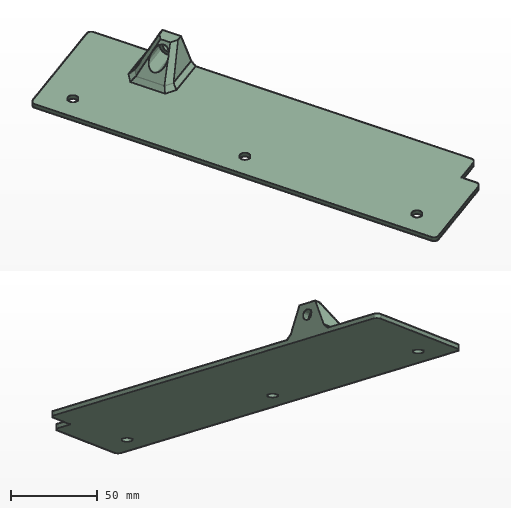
import cadquery as cq

plate_length = 264.0
plate_width = 73.0
plate_thickness = 3.0
overall_height = 22.0
corner_radius = 3.0
notch_length = 12.5
notch_width = 17.7

hole_diameter = 6.3
hole_end_margin = 20.0
hole_edge_margin = 14.5

bracket_height = overall_height - plate_thickness
bracket_center_x = 53.9
foot_height = 3.0
corner_slope = 1.4

base_section = (15.5, 11.4, 30.0)
foot_top_section = (12.7, 9.2, 27.0)
top_section = (6.0, 3.2, 8.0)

bore_height = 12.0
bore_diameter = 6.3
counterbore_diameter = 11.0
counterbore_back_wall = 5.0


def make_plate():
    notch_x = plate_length - notch_length
    notch_y = plate_width - notch_width
    outer_corners = [
        (0, 0),
        (plate_length, 0),
        (plate_length, notch_y),
        (notch_x, plate_width),
        (0, plate_width),
    ]
    plate = (
        cq.Workplane("XY")
        .polyline(outer_corners[:3] + [(notch_x, notch_y)] + outer_corners[3:])
        .close()
        .extrude(plate_thickness)
    )
    for x, y in outer_corners:
        corner_edge = cq.selectors.NearestToPointSelector((x, y, plate_thickness / 2))
        plate = plate.edges("|Z").edges(corner_edge).fillet(corner_radius)

    hole_centers = [
        (x, hole_edge_margin)
        for x in (hole_end_margin, plate_length / 2, plate_length - hole_end_margin)
    ]
    holes = (
        cq.Workplane("XY")
        .pushPoints(hole_centers)
        .circle(hole_diameter / 2)
        .extrude(plate_thickness)
    )
    return plate.cut(holes)


def section_wire(section, height):
    """Closed outline of the bracket at a height above the plate."""
    half_width, front_half_width, depth = section
    side_depth = depth - (half_width - front_half_width) * corner_slope
    outline = [
        (-half_width, 0),
        (-half_width, side_depth),
        (-front_half_width, depth),
        (front_half_width, depth),
        (half_width, side_depth),
        (half_width, 0),
    ]
    points = [
        cq.Vector(bracket_center_x + x, plate_width - y, plate_thickness + height)
        for x, y in outline
    ]
    return cq.Wire.makePolygon(points, close=True)


def make_bracket():
    base = section_wire(base_section, 0)
    foot_top = section_wire(foot_top_section, foot_height)
    top = section_wire(top_section, bracket_height)
    foot = cq.Solid.makeLoft([base, foot_top], True)
    body = cq.Solid.makeLoft([foot_top, top], True)
    return cq.Workplane(foot).union(cq.Workplane(body))


def bore_cutter(diameter, back_wall):
    """Cylinder along Y that starts back_wall in from the back edge and runs to the bracket front."""
    start = cq.Vector(bracket_center_x, plate_width - back_wall, plate_thickness + bore_height)
    length = base_section[2] - back_wall
    return cq.Solid.makeCylinder(diameter / 2, length, start, cq.Vector(0, -1, 0))


result = (
    make_plate()
    .union(make_bracket())
    .cut(cq.Workplane(bore_cutter(bore_diameter, 0)))
    .cut(cq.Workplane(bore_cutter(counterbore_diameter, counterbore_back_wall)))
)